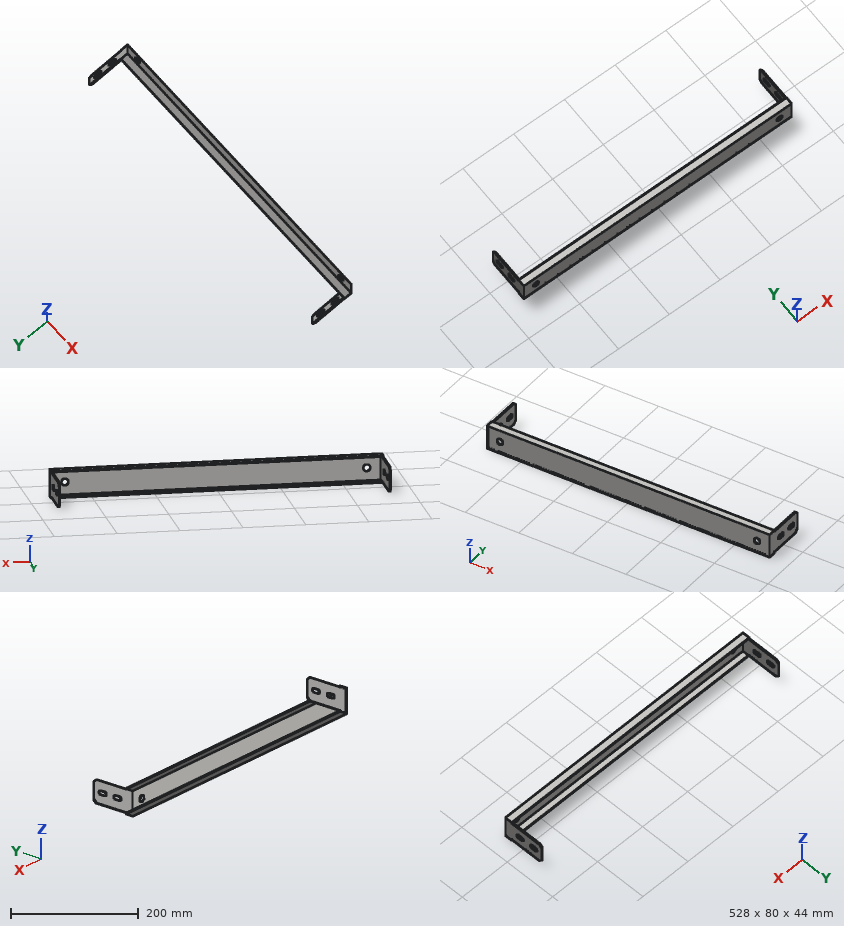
import cadquery as cq

length = 528.0
depth = 80.0
height = 44.0
sheet = 2.0

flange_depth = 14.0
tab_corner = 5.0

hole_diameter = 11.0
hole_end_distance = 24.0

slot_length = 15.0
slot_width = 7.0
slot_end_distance = 17.5
slot_spacing = 30.0
slots_per_tab = 2

tab_height = height - 2 * sheet
hole_x = length / 2 - hole_end_distance
slot_positions = [depth - slot_end_distance - i * slot_spacing for i in range(slots_per_tab)]


def make_channel():
    """Long U-channel: front web on Y = 0 with a top and a bottom flange, open towards +Y."""
    outer = cq.Workplane("XY").box(length, flange_depth, height, centered=(True, False, True))
    cavity = (
        cq.Workplane("XY")
        .box(length, flange_depth - sheet, tab_height, centered=(True, False, True))
        .translate((0, sheet, 0))
    )
    return outer.cut(cavity)


def make_tab(side):
    """End tab running back from the web, with chamfered free corners and two slots."""
    tab_x = side * (length - sheet) / 2
    tab = (
        cq.Workplane("XY")
        .box(sheet, depth, tab_height, centered=(True, False, True))
        .edges("|X and >Y")
        .chamfer(tab_corner)
    )
    slots = (
        cq.Workplane("YZ")
        .pushPoints([(y, 0) for y in slot_positions])
        .slot2D(slot_length, slot_width)
        .extrude(sheet, both=True)
    )
    return tab.cut(slots).translate((tab_x, 0, 0))


def make_web_holes():
    """Cutters for the round hole near each end of the web."""
    return (
        cq.Workplane("XZ")
        .pushPoints([(-hole_x, 0), (hole_x, 0)])
        .circle(hole_diameter / 2)
        .extrude(sheet, both=True)
    )


bracket = make_channel()
for side in (-1, 1):
    bracket = bracket.union(make_tab(side))

result = bracket.cut(make_web_holes())